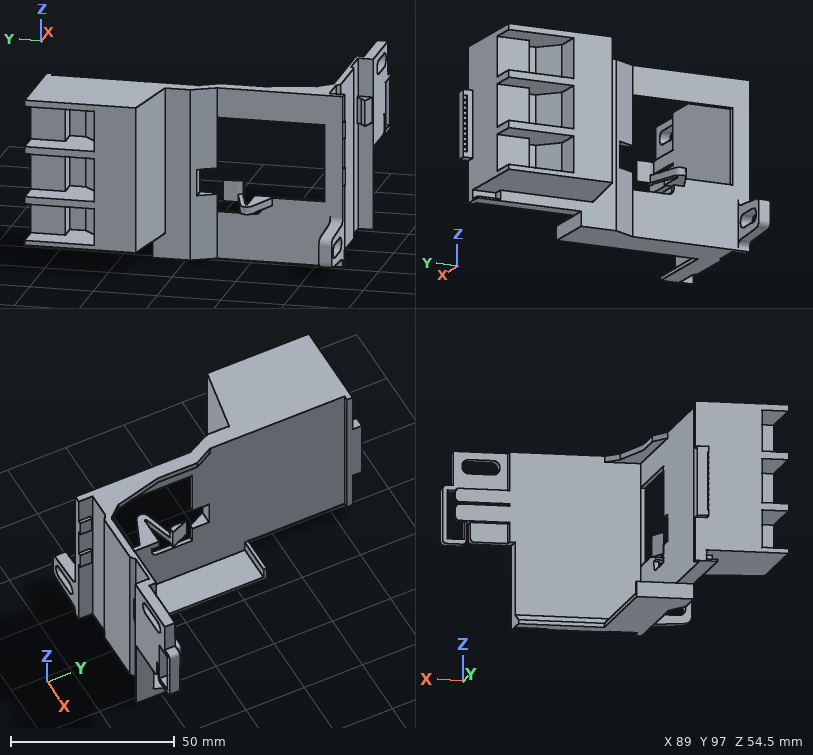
import cadquery as cq
import math

height = 54.5
depth = 97.0
width = 88.95

wall_left = 26.1
wall_back = 27.6
wall_set_back = 22.2
bend_start_y = 39.5
bend_end_y = 46.9
wall_step_y = 58.8
wall_end_y = 93.8
wall_step_z = 4.8
corner_post_right = 28.4

plate_front = 4.8
plate_back = 5.9
plate_right = 66.8
bulge_front = 3.6
bulge_slope = 1.6
bulge_left = 37.0
bulge_right = 57.1
end_wall_left = 66.1

top_flange_thickness = 1.9
bottom_flange_thickness = 1.3
bottom_flange_right = 40.1
corner_x = 34.9
corner_y = 11.0
sloped_lip_height = 2.5

box_bottom = 8.1
pocket_start_y = 71.9
pocket_slope_end_y = 77.9
pocket_ledge_y = 82.9
pocket_depth = 8.3
pocket_deep_depth = 14.4
pocket_z_ranges = [(9.7, 21.3), (23.7, 37.3), (39.7, 52.5)]

lug_left = 11.3
lug_thickness = 4.0
ear_left = 68.6
ear_right = 85.65
ear_bottom = 26.4
ear_thickness = 3.6
slot_height = 4.4


def box(x0, x1, y0, y1, z0, z1):
    """Block given by its limits along X, Y and Z."""
    return cq.Workplane("XY").box(x1 - x0, y1 - y0, z1 - z0, centered=False).translate((x0, y0, z0))


def plan_prism(points, z0, z1):
    """Outline in X and Y, raised from z0 to z1."""
    return cq.Workplane("XY").workplane(offset=z0).polyline(points).close().extrude(z1 - z0)


def front_slot(x0, x1, center_z, thickness):
    """Elongated through hole along X."""
    return (
        cq.Workplane("XZ")
        .center((x0 + x1) / 2, center_z)
        .slot2D(x1 - x0, slot_height)
        .extrude(-thickness)
    )


def upright_wall():
    """Wall over the full height, with a corner post at its front edge."""
    wall = plan_prism(
        [
            (wall_left, 0),
            (corner_post_right, 0),
            (corner_post_right, plate_front),
            (wall_back, plate_back),
            (wall_back, wall_end_y),
            (wall_set_back, wall_end_y),
            (wall_set_back, bend_end_y),
            (wall_left, bend_start_y),
        ],
        0,
        height,
    )
    wall = wall.cut(box(0, width, wall_step_y, depth, 0, wall_step_z))
    relief_start_y = 86.0
    relief_x = 25.6
    relief_bottom = 5.3
    return wall.cut(box(0, relief_x, relief_start_y, depth, relief_bottom, box_bottom))


def wall_opening():
    """Window in the wall, its rear notch and the gap below the spring clip."""
    window_front = 5.8
    window_back = bend_start_y
    window_bottom = 20.6
    window_top = 45.0
    notch_back = 45.2
    notch_top = 28.8
    clip_gap_front = 25.6
    clip_gap_bottom = 15.0
    clip_gap_radius = 1.9
    window = box(0, wall_back, window_front, window_back, window_bottom, window_top)
    notch = box(0, wall_back, window_back, notch_back, window_bottom, notch_top)
    clip_gap = box(0, wall_back, clip_gap_front, window_back, clip_gap_bottom, window_bottom)
    clip_gap = clip_gap.edges("|X and <Y and <Z").fillet(clip_gap_radius)
    return window.union(notch).union(clip_gap)


def front_plate():
    """Plate with a raised middle panel, closed on the right by a short end wall."""
    plate = plan_prism(
        [
            (wall_left, plate_front),
            (bulge_left, plate_front),
            (bulge_left + bulge_slope, bulge_front),
            (bulge_right - bulge_slope, bulge_front),
            (bulge_right, plate_front),
            (plate_right, plate_front),
            (plate_right, plate_back),
            (wall_left, plate_back),
        ],
        0,
        height,
    )
    return plate.union(box(end_wall_left, plate_right, 0, plate_back, 0, height))


def top_flange():
    """Flange along the top edge, wider towards the corner between wall and plate."""
    bevel_right = 38.8
    bevel_back = 10.4
    taper_end_y = 25.9
    middle_back = 31.0
    middle_end_y = 39.4
    bend_back_end_y = 45.6
    return plan_prism(
        [
            (wall_left, plate_front),
            (bevel_right, plate_front),
            (bevel_right, plate_back),
            (corner_x, bevel_back),
            (corner_x, corner_y),
            (middle_back, taper_end_y),
            (middle_back, middle_end_y),
            (wall_back, bend_back_end_y),
            (wall_left, bend_start_y),
        ],
        height - top_flange_thickness,
        height,
    )


def bottom_flange():
    """Floor flange with a raised lip at its rear end and a sloped lip along the plate."""
    floor = box(wall_left, bottom_flange_right, plate_front, wall_step_y, 0, bottom_flange_thickness)
    end_lip_front = wall_step_y - bottom_flange_thickness
    end_lip = box(wall_left, bottom_flange_right, end_lip_front, wall_step_y, 0, wall_step_z)
    lip_top = bottom_flange_thickness + sloped_lip_height
    sloped_lip = (
        cq.Workplane("YZ")
        .workplane(offset=wall_left)
        .polyline(
            [
                (plate_back, 0),
                (corner_y, 0),
                (corner_y, bottom_flange_thickness),
                (plate_back, lip_top),
            ]
        )
        .close()
        .extrude(plate_right - wall_left)
    )
    return floor.union(end_lip).union(sloped_lip)


def terminal_box():
    """Box open to the left and rear, with three stacked pockets between fins."""
    front_slope_end_y = 54.9
    body = plan_prism(
        [
            (0, wall_step_y),
            (wall_set_back, front_slope_end_y),
            (wall_back, front_slope_end_y),
            (wall_back, wall_end_y),
            (0, wall_end_y),
        ],
        box_bottom,
        height,
    )
    for pocket_bottom, pocket_top in pocket_z_ranges:
        pocket = plan_prism(
            [
                (0, pocket_start_y),
                (pocket_depth, pocket_start_y),
                (pocket_deep_depth, pocket_slope_end_y),
                (pocket_deep_depth, pocket_ledge_y),
                (pocket_depth, pocket_ledge_y),
                (pocket_depth, wall_end_y),
                (0, wall_end_y),
            ],
            pocket_bottom,
            pocket_top,
        )
        body = body.cut(pocket)
    return body


def rear_grip():
    """Lip along the rear edge of the wall and the finger tab behind it."""
    grip_left = 25.6
    grip_right = 29.2
    lip_front = 91.8
    tab_bottom = 18.2
    tab_top = 39.8
    lip = box(grip_left, grip_right, lip_front, wall_end_y, wall_step_z, height)
    tab = box(grip_left, grip_right, wall_end_y, depth, tab_bottom, tab_top)

    groove_count = 11
    groove_pitch = 1.65
    groove_height = 1.3
    groove_depth = 0.3
    groove_start_y = 95.7
    first_groove_center = (tab_bottom + tab_top - (groove_count - 1) * groove_pitch) / 2
    for index in range(groove_count):
        groove_bottom = first_groove_center + index * groove_pitch - groove_height / 2
        groove_top = groove_bottom + groove_height
        groove_right = grip_left + groove_depth
        tab = tab.cut(box(grip_left, groove_right, groove_start_y, depth, groove_bottom, groove_top))
    return lip.union(tab)


def spring_clip():
    """V-shaped spring arm, rooted in the wall, with a taller catch at its free end."""
    clip_bottom = 18.1
    clip_top = 20.6
    catch_top = 24.9
    nose_center_y = 28.1
    nose_left = 15.1
    nose_front = (16.5, 26.1)
    nose_rear = (16.7, 30.0)
    root_front_y = 22.2
    free_end_rear_y = 33.3
    free_end_front_y = 31.7
    gap_tip_x = 17.9
    gap_tip_rear_y = 28.6
    catch_left = 27.2
    catch_right = 29.7
    catch_rear_y = 37.8
    arm = (
        cq.Workplane("XY")
        .workplane(offset=clip_bottom)
        .moveTo(wall_left, root_front_y)
        .lineTo(*nose_front)
        .threePointArc((nose_left, nose_center_y), nose_rear)
        .lineTo(wall_back, free_end_rear_y)
        .lineTo(wall_back, free_end_front_y)
        .lineTo(gap_tip_x, gap_tip_rear_y)
        .lineTo(gap_tip_x, nose_center_y)
        .lineTo(wall_back, nose_center_y)
        .lineTo(wall_back, root_front_y)
        .close()
        .extrude(clip_top - clip_bottom)
    )
    catch = plan_prism(
        [
            (catch_left, catch_rear_y),
            (catch_left, free_end_rear_y),
            (wall_back, free_end_front_y),
            (catch_right, free_end_front_y),
        ],
        clip_bottom,
        catch_top,
    )
    return arm.union(catch)


def left_lug():
    """Tapered lug, blended into the wall by concave arcs."""
    center_z = 8.4
    slot_left = 13.2
    slot_right = 24.3
    tip_half_height = 4.6
    root_half_height = 5.4
    corner_radius = 2.0
    root_x = wall_left - corner_radius
    flared_half_height = root_half_height + corner_radius
    arc_x = wall_left - corner_radius * (1 - math.sqrt(0.5))
    arc_half_height = root_half_height + corner_radius * (1 - math.sqrt(0.5))
    lug = (
        cq.Workplane("XZ")
        .moveTo(lug_left, center_z - tip_half_height)
        .lineTo(root_x, center_z - root_half_height)
        .threePointArc((arc_x, center_z - arc_half_height), (wall_left, center_z - flared_half_height))
        .lineTo(wall_left, center_z + flared_half_height)
        .threePointArc((arc_x, center_z + arc_half_height), (root_x, center_z + root_half_height))
        .lineTo(lug_left, center_z + tip_half_height)
        .close()
        .extrude(-lug_thickness)
    )
    lug = lug.edges("|Y and <X").fillet(corner_radius)
    return lug.cut(front_slot(slot_left, slot_right, center_z, lug_thickness))


def corner_nubs():
    """Two small nubs on the inner side of the corner post."""
    nub_right = 29.5
    nub_z_ranges = [(25.3, 30.75), (40.4, 45.6)]
    nubs = cq.Workplane("XY")
    for nub_bottom, nub_top in nub_z_ranges:
        nubs = nubs.union(box(wall_left, nub_right, 0, lug_thickness, nub_bottom, nub_top))
    return nubs


def snap_hook():
    """Barbed hook on the inner side of the end wall."""
    hook_bottom = 34.2
    hook_top = 42.4
    ramp_start = (end_wall_left, 0.3)
    hook_tip = (62.0, 1.65)
    back_bend = (63.8, 3.3)
    back_end = (64.6, plate_front)
    return plan_prism(
        [ramp_start, hook_tip, back_bend, back_end, (end_wall_left, plate_front)],
        hook_bottom,
        hook_top,
    )


def right_ear():
    """Ear with an elongated hole, a hanging loop and two tongues behind it."""
    corner_radius = 1.2
    root = box(end_wall_left, ear_left, 0, plate_back, ear_bottom, height)
    ear = box(end_wall_left, ear_right, 0, ear_thickness, ear_bottom, height)

    loop_left = 81.5
    loop_bottom = 25.6
    loop_top = 43.8
    slit_left = 80.3
    slit_top = 32.5
    ear = ear.cut(box(slit_left, width, 0, ear_thickness, 0, slit_top))
    ear = ear.edges("|Y").edges("<Z").edges(">X").fillet(corner_radius)
    loop = box(loop_left, width, 0, ear_thickness, loop_bottom, loop_top)
    loop = loop.edges("|Y").edges(">X or <Z").fillet(corner_radius)
    hole_left = 82.2
    hole_right = 87.4
    hole_bottom = 27.2
    hole_top = 42.3
    loop_hole = box(hole_left, hole_right, 0, ear_thickness, hole_bottom, hole_top)
    ear = ear.union(loop).cut(loop_hole)

    tongue_right = 85.5
    tongue_z_ranges = [(slit_top, 37.6), (38.3, 42.5)]
    for tongue_bottom, tongue_top in tongue_z_ranges:
        tongue = box(end_wall_left, tongue_right, ear_thickness, plate_back, tongue_bottom, tongue_top)
        ear = ear.union(tongue.edges("|Y and >X").fillet(corner_radius))

    slot_left = 71.1
    slot_right = 82.8
    slot_center_z = 49.9
    return root.union(ear).cut(front_slot(slot_left, slot_right, slot_center_z, ear_thickness))


result = (
    upright_wall()
    .union(front_plate())
    .union(top_flange())
    .union(bottom_flange())
    .cut(wall_opening())
    .union(terminal_box())
    .union(rear_grip())
    .union(spring_clip())
    .union(left_lug())
    .union(corner_nubs())
    .union(snap_hook())
    .union(right_ear())
)